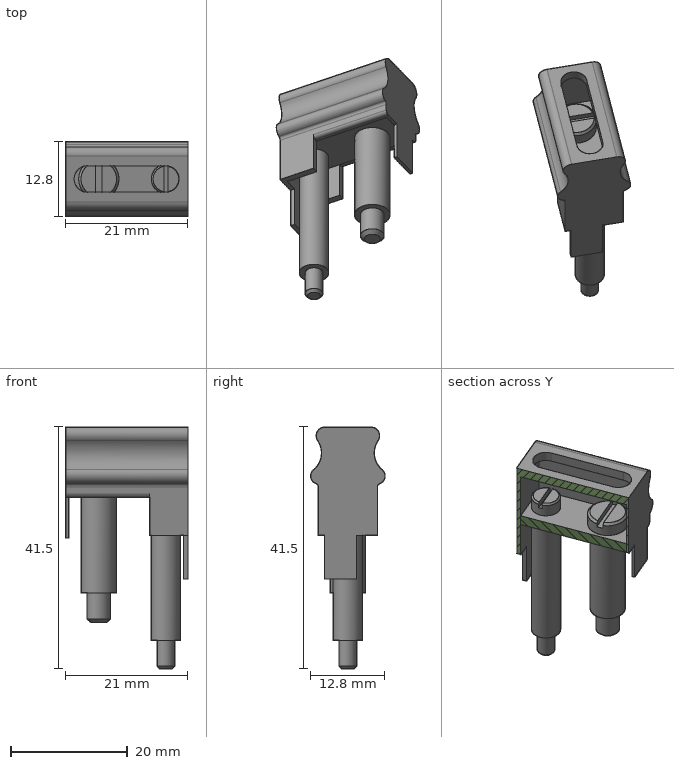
import cadquery as cq
import math


HOUSING_LENGTH = 21.0
HOUSING_BOTTOM = -12.1
SKIRT_HALF_WIDTH = 5.1
BOTTOM_FILLET = 0.65

TOP_HALF_WIDTH = 3.95
CROWN_RADIUS = 1.5
GROOVE_RADIUS = 3.75
LOBE_RADIUS = 1.4
LOBE_TIP = 6.4
LOBE_HEIGHT = -8.4
ROOT_RADIUS = 0.6

LID_THICKNESS = 1.75
CAVITY_HALF_WIDTH = 3.95
THIN_END_WALL = 0.55
THICK_END_WALL = 0.8
CAVITY_START = THIN_END_WALL
CAVITY_END = HOUSING_LENGTH - THICK_END_WALL

SLOT_LENGTH = 18.0
SLOT_WIDTH = 4.5
SLOT_CENTER_X = 10.45

COLLAR_START = 14.4
COLLAR_BOTTOM = -18.6

SHIELD_Y_MIN = -4.05
SHIELD_Y_MAX = 1.45
THIN_SHIELD_BOTTOM = -19.05
THICK_SHIELD_BOTTOM = -26.1

BAR_THICKNESS = 2.0
BAR_TOP = HOUSING_BOTTOM + BAR_THICKNESS

HEAD_HEIGHT = 2.5
DRIVER_SLOT_DEPTH = 1.0

LARGE_POLE = {
    "x": 5.68,
    "sleeve_radius": 3.05,
    "sleeve_bottom": -28.45,
    "screw_radius": 2.05,
    "screw_bottom": -33.55,
    "tip_inset": 0.7,
    "tip_height": 0.65,
    "head_radius": 3.45,
    "head_chamfer": 0.4,
    "driver_slot_width": 1.13,
}
SMALL_POLE = {
    "x": 17.2,
    "sleeve_radius": 2.53,
    "sleeve_bottom": -36.6,
    "screw_radius": 1.53,
    "screw_bottom": -41.5,
    "tip_inset": 0.45,
    "tip_height": 0.5,
    "head_radius": 2.5,
    "head_chamfer": 0.3,
    "driver_slot_width": 0.63,
}
POLES = [LARGE_POLE, SMALL_POLE]


def box(x_min, x_max, y_min, y_max, z_min, z_max):
    """Axis-aligned box between the given limits."""
    return cq.Workplane("XY").box(
        x_max - x_min, y_max - y_min, z_max - z_min, centered=False
    ).translate((x_min, y_min, z_min))


def cylinder(x, radius, z_min, z_max):
    """Upright cylinder on the mid plane."""
    base = cq.Workplane("XY").workplane(offset=z_min).center(x, 0)
    return base.circle(radius).extrude(z_max - z_min)


def point_towards(start, target, distance):
    """Point at a distance from start on the line to target."""
    ratio = distance / math.dist(start, target)
    return (start[0] + ratio * (target[0] - start[0]), start[1] + ratio * (target[1] - start[1]))


def mirrored(point):
    """Profile point reflected to the other side of the mid plane."""
    return (-point[0], point[1])


def grip_body():
    """Solid grip extruded along X; its arcs meet tangentially."""
    crown_center = (TOP_HALF_WIDTH, -CROWN_RADIUS)
    lobe_center = (LOBE_TIP - LOBE_RADIUS, LOBE_HEIGHT)

    to_crown = GROOVE_RADIUS + CROWN_RADIUS
    to_lobe = GROOVE_RADIUS + LOBE_RADIUS
    span = math.dist(crown_center, lobe_center)
    along = (to_crown**2 - to_lobe**2 + span**2) / (2 * span)
    across = math.sqrt(to_crown**2 - along**2)
    step_y = (lobe_center[0] - crown_center[0]) / span
    step_z = (lobe_center[1] - crown_center[1]) / span
    groove_center = (
        crown_center[0] + along * step_y - across * step_z,
        crown_center[1] + along * step_z + across * step_y,
    )

    root_y = SKIRT_HALF_WIDTH + ROOT_RADIUS
    root_drop = math.sqrt((LOBE_RADIUS + ROOT_RADIUS) ** 2 - (root_y - lobe_center[0]) ** 2)
    root_center = (root_y, LOBE_HEIGHT - root_drop)

    top = (TOP_HALF_WIDTH, 0)
    crown_tip = (TOP_HALF_WIDTH + CROWN_RADIUS, -CROWN_RADIUS)
    crown_end = point_towards(crown_center, groove_center, CROWN_RADIUS)
    groove_middle = (groove_center[0] - GROOVE_RADIUS, groove_center[1])
    lobe_start = point_towards(lobe_center, groove_center, LOBE_RADIUS)
    lobe_tip = (LOBE_TIP, LOBE_HEIGHT)
    lobe_end = point_towards(lobe_center, root_center, LOBE_RADIUS)
    skirt_top = (SKIRT_HALF_WIDTH, root_center[1])
    root_chord_middle = ((lobe_end[0] + skirt_top[0]) / 2, (lobe_end[1] + skirt_top[1]) / 2)
    root_middle = point_towards(root_center, root_chord_middle, ROOT_RADIUS)
    skirt_bottom = (SKIRT_HALF_WIDTH, HOUSING_BOTTOM)

    profile = (
        cq.Workplane("YZ")
        .moveTo(*top)
        .threePointArc(crown_tip, crown_end)
        .threePointArc(groove_middle, lobe_start)
        .threePointArc(lobe_tip, lobe_end)
        .threePointArc(root_middle, skirt_top)
        .lineTo(*skirt_bottom)
        .lineTo(*mirrored(skirt_bottom))
        .lineTo(*mirrored(skirt_top))
        .threePointArc(mirrored(root_middle), mirrored(lobe_end))
        .threePointArc(mirrored(lobe_tip), mirrored(lobe_start))
        .threePointArc(mirrored(groove_middle), mirrored(crown_end))
        .threePointArc(mirrored(crown_tip), mirrored(top))
        .close()
    )
    return profile.extrude(HOUSING_LENGTH).faces("<Z").edges("|X").fillet(BOTTOM_FILLET)


def make_housing():
    collar = box(
        COLLAR_START, HOUSING_LENGTH, -SKIRT_HALF_WIDTH, SKIRT_HALF_WIDTH,
        COLLAR_BOTTOM, HOUSING_BOTTOM + BOTTOM_FILLET,
    )
    thin_shield = box(
        0, THIN_END_WALL, SHIELD_Y_MIN, SHIELD_Y_MAX, THIN_SHIELD_BOTTOM, HOUSING_BOTTOM
    )
    thick_shield = box(
        CAVITY_END, HOUSING_LENGTH, SHIELD_Y_MIN, SHIELD_Y_MAX, THICK_SHIELD_BOTTOM, COLLAR_BOTTOM
    )
    cavity = box(
        CAVITY_START, CAVITY_END, -CAVITY_HALF_WIDTH, CAVITY_HALF_WIDTH, COLLAR_BOTTOM, -LID_THICKNESS
    )
    access_slot = (
        cq.Workplane("XY")
        .center(SLOT_CENTER_X, 0)
        .slot2D(SLOT_LENGTH, SLOT_WIDTH)
        .extrude(-LID_THICKNESS)
    )
    shell = grip_body().union(collar).cut(cavity).cut(access_slot)
    return shell.union(thin_shield).union(thick_shield)


def make_bar():
    """Flat bar filling the cavity outline, flush with the housing bottom."""
    bar = box(
        CAVITY_START, CAVITY_END, -CAVITY_HALF_WIDTH, CAVITY_HALF_WIDTH, HOUSING_BOTTOM, BAR_TOP
    )
    for pole in POLES:
        bar = bar.cut(cylinder(pole["x"], pole["screw_radius"], HOUSING_BOTTOM, BAR_TOP))
    return bar


def make_sleeve(pole):
    """Plain tube around the screw, from the underside of the bar downwards."""
    outside = cylinder(pole["x"], pole["sleeve_radius"], pole["sleeve_bottom"], HOUSING_BOTTOM)
    bore = cylinder(pole["x"], pole["screw_radius"], pole["sleeve_bottom"], HOUSING_BOTTOM)
    return outside.cut(bore)


def make_screw(pole):
    """Slotted screw with a chamfered head resting on the bar and a tapered tip."""
    head_top = BAR_TOP + HEAD_HEIGHT
    shank = (
        cylinder(pole["x"], pole["screw_radius"], pole["screw_bottom"], BAR_TOP)
        .faces("<Z")
        .chamfer(pole["tip_height"], pole["tip_inset"])
    )
    head = (
        cylinder(pole["x"], pole["head_radius"], BAR_TOP, head_top)
        .faces(">Z")
        .chamfer(pole["head_chamfer"])
    )
    half_slot = pole["driver_slot_width"] / 2
    driver_slot = box(
        pole["x"] - half_slot, pole["x"] + half_slot, -pole["head_radius"], pole["head_radius"],
        head_top - DRIVER_SLOT_DEPTH, head_top,
    )
    return shank.union(head).cut(driver_slot)


housing = make_housing()
bar = make_bar()
sleeves = [make_sleeve(pole) for pole in POLES]
screws = [make_screw(pole) for pole in POLES]

result = cq.Compound.makeCompound(
    [housing.val(), bar.val()]
    + [sleeve.val() for sleeve in sleeves]
    + [screw.val() for screw in screws]
)